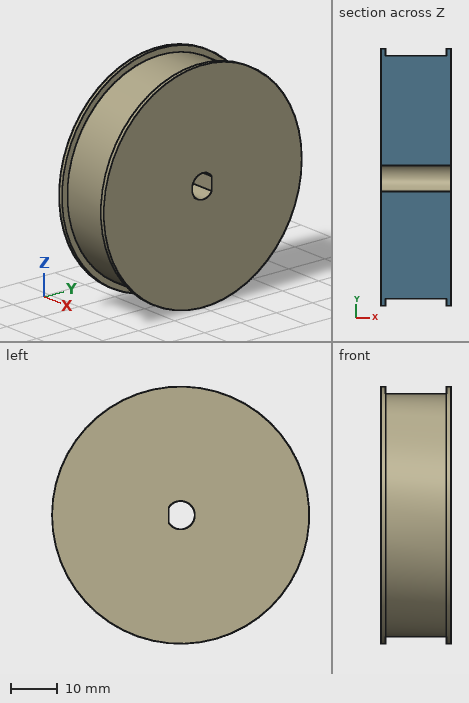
import cadquery as cq

total_width = 15.0
flange_diameter = 55.0
flange_thickness = 1.0
rim_diameter = 52.0
bore_diameter = 6.0
flat_offset = 2.5

half_width = total_width / 2


def disc(diameter, start_x, thickness):
    """Solid disc around the X axis, starting at start_x."""
    return cq.Workplane("YZ", origin=(start_x, 0, 0)).circle(diameter / 2).extrude(thickness)


def make_wheel():
    """Rim with a thin flange at each end."""
    wheel = disc(rim_diameter, -half_width, total_width)
    for start_x in (-half_width, half_width - flange_thickness):
        wheel = wheel.union(disc(flange_diameter, start_x, flange_thickness))
    return wheel


def make_bore():
    """Through bore with one flat, facing -Y."""
    round_bore = disc(bore_diameter, -half_width, total_width)
    keep_side = cq.Workplane("XY").box(
        total_width, bore_diameter, bore_diameter
    ).translate((0, flat_offset - bore_diameter / 2, 0))
    return round_bore.intersect(keep_side)


result = make_wheel().cut(make_bore())